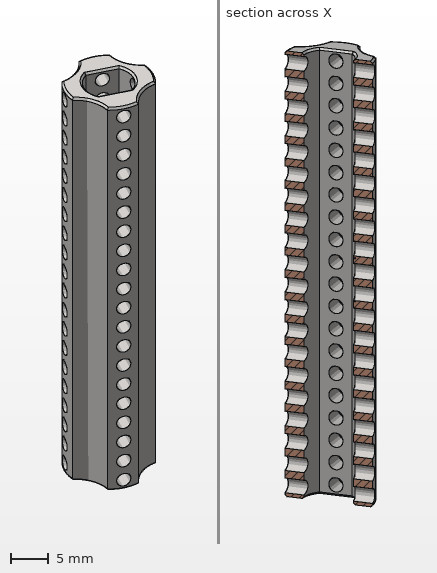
import cadquery as cq
import math

outer_diameter = 12.5
length = 62.5
lobe_count = 4
lobe_half_width = 2.2
groove_bottom_radius = 4.98
bore_diameter = 7.0
bore_flat_width = 5.25
edge_chamfer = 0.3
hole_count = 20
hole_diameter = 2.0

outer_radius = outer_diameter / 2
lobe_edge_reach = math.sqrt(outer_radius**2 - lobe_half_width**2)
hole_pitch = length / hole_count
lobe_angle = 2 * math.pi / lobe_count


def rotated(point, angle):
    """Rotate an (x, y) point about the axis by an angle in radians."""
    x, y = point
    cosine, sine = math.cos(angle), math.sin(angle)
    return (x * cosine - y * sine, x * sine + y * cosine)


def lobed_body():
    """Four lobes on a common circle, separated by concave grooves on the diagonals."""
    lobe_start = (lobe_edge_reach, -lobe_half_width)
    lobe_crown = (outer_radius, 0)
    lobe_end = (lobe_edge_reach, lobe_half_width)
    groove_bottom = rotated((groove_bottom_radius, 0), lobe_angle / 2)

    outline = cq.Workplane("XY").moveTo(*lobe_start)
    for lobe in range(lobe_count):
        angle = lobe * lobe_angle
        next_angle = angle + lobe_angle
        outline = outline.threePointArc(rotated(lobe_crown, angle), rotated(lobe_end, angle))
        outline = outline.threePointArc(rotated(groove_bottom, angle), rotated(lobe_start, next_angle))
    return outline.close().extrude(length)


def flatted_bore():
    """Round bore cut down by two flats that face along X."""
    cylinder = cq.Workplane("XY").circle(bore_diameter / 2).extrude(length)
    flats = cq.Workplane("XY").rect(bore_flat_width, bore_diameter).extrude(length)
    return cylinder.intersect(flats)


def cross_holes(plane):
    """Evenly spaced row of holes along Z, running right across the part."""
    first_height = hole_pitch / 2
    centers = [(0, first_height + index * hole_pitch) for index in range(hole_count)]
    row = cq.Workplane(plane).pushPoints(centers).circle(hole_diameter / 2)
    return row.extrude(outer_radius, both=True)


tube = lobed_body().cut(flatted_bore())
tube = tube.faces("<Z or >Z").edges().chamfer(edge_chamfer)

result = tube.cut(cross_holes("XZ")).cut(cross_holes("YZ"))